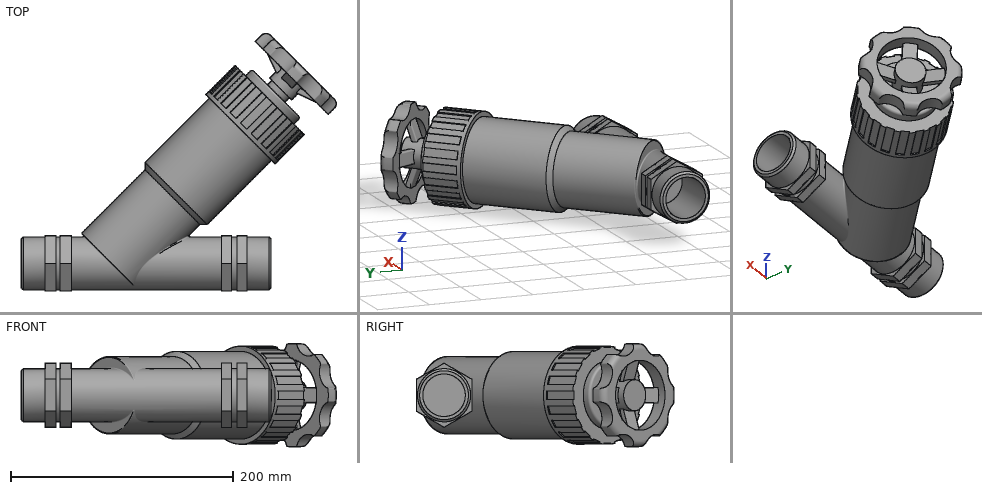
import cadquery as cq
import math

PIPE_LENGTH = 225.0
PIPE_DIAMETER = 48.0
PIPE_CHAMFER = 2.0
BORE_DIAMETER = 38.3
BORE_DEPTH = 56.7

HEX_ACROSS_FLATS = 50.0
LEFT_HEX_STARTS = (21.5, 35.2)
LEFT_HEX_WIDTH = 10.0
RIGHT_HEX_STARTS = (180.5, 194.3)
RIGHT_HEX_WIDTH = 9.0

BRANCH_X = 76.5
BRANCH_ANGLE = 45.0
NECK_START = 3.5
NECK_DIAMETER = 69.8
NECK_ROUNDING = 0.9
SEAM_ROUNDING = 0.9
CONE_START = 84.2
BODY_DIAMETER = 79.0
NUT_START = 170.8
NUT_END = 208.0
NUT_DIAMETER = 88.5
FLANGE_END = 216.0
FLANGE_DIAMETER = 61.5
FLANGE_ROUNDING = 2.3
STEM_DIAMETER = 22.5
HUB_START = 221.8
HUB_END = 242.5
HUB_DIAMETER = 28.0

GROOVE_COUNT = 20
GROOVE_WIDTH = 8.0
GROOVE_DEPTH = 1.5
GROOVE_START = NUT_START + 4.0

RIM_START = 236.0
RIM_END = 249.5
RIM_DIAMETER = 93.0
RIM_HOLE_DIAMETER = 63.0
RIM_ROUNDING = 5.7
LOBE_COUNT = 8
LOBE_EDGE_ROUNDING = 1.0
SCALLOP_RADIUS = 15.5
SCALLOP_FLOOR_RADIUS = 39.5
SPOKE_COUNT = 4
SPOKE_WIDTH = 13.5
SPOKE_ROUNDING = 1.5
SPOKE_HEIGHT = 5.7
SPOKE_DROP = 6.2
SPOKE_RIM_OVERLAP = 1.5


def rod(diameter, start, end):
    """Cylinder on the local Z axis between two heights."""
    return cq.Workplane("XY").workplane(offset=start).circle(diameter / 2).extrude(end - start)


def make_pipe():
    """Chamfered pipe with its four hexagonal collars, corners pointing along Z."""
    pipe = cq.Workplane("YZ").circle(PIPE_DIAMETER / 2).extrude(PIPE_LENGTH)
    pipe = pipe.faces("<X or >X").edges().chamfer(PIPE_CHAMFER)
    collars = [(start, LEFT_HEX_WIDTH) for start in LEFT_HEX_STARTS]
    collars += [(start, RIGHT_HEX_WIDTH) for start in RIGHT_HEX_STARTS]
    hex_across_corners = HEX_ACROSS_FLATS / math.cos(math.pi / 6)
    for start, width in collars:
        collar = (
            cq.Workplane("YZ", origin=(start, 0, 0))
            .transformed(rotate=(0, 0, 90))
            .polygon(6, hex_across_corners)
            .extrude(width)
        )
        pipe = pipe.union(collar)
    return pipe


def make_bores():
    """Blind bores from both pipe ends."""
    bore = cq.Workplane("YZ").circle(BORE_DIAMETER / 2).extrude(BORE_DEPTH)
    return bore.union(bore.translate((PIPE_LENGTH - BORE_DEPTH, 0, 0)))


def make_body():
    """Neck widening through a 45 degree cone to the main barrel."""
    neck_radius = NECK_DIAMETER / 2
    body_radius = BODY_DIAMETER / 2
    cone_end = CONE_START + body_radius - neck_radius
    return (
        cq.Workplane("XZ")
        .moveTo(0, NECK_START)
        .lineTo(neck_radius, NECK_START)
        .lineTo(neck_radius, CONE_START)
        .lineTo(body_radius, cone_end)
        .lineTo(body_radius, NUT_START)
        .lineTo(0, NUT_START)
        .close()
        .revolve(360, (0, 0, 0), (0, 1, 0))
        .faces("<Z")
        .edges()
        .fillet(NECK_ROUNDING)
    )


def make_nut():
    """Grooved union nut with the round flange on top of it."""
    nut = rod(NUT_DIAMETER, NUT_START, NUT_END)
    grooves = (
        cq.Workplane("XY")
        .workplane(offset=GROOVE_START)
        .polarArray(NUT_DIAMETER / 2, 0, 360, GROOVE_COUNT)
        .rect(2 * GROOVE_DEPTH, GROOVE_WIDTH)
        .extrude(NUT_END - GROOVE_START)
    )
    flange = rod(FLANGE_DIAMETER, NUT_END, FLANGE_END).faces(">Z").edges().fillet(FLANGE_ROUNDING)
    return nut.cut(grooves).union(flange)


def make_rim():
    """Handwheel ring with scallops between its lobes."""
    disc = rod(RIM_DIAMETER, RIM_START, RIM_END)
    scallops = (
        cq.Workplane("XY")
        .workplane(offset=RIM_START)
        .polarArray(SCALLOP_FLOOR_RADIUS + SCALLOP_RADIUS, 180 / LOBE_COUNT, 360, LOBE_COUNT)
        .circle(SCALLOP_RADIUS)
        .extrude(RIM_END - RIM_START)
    )
    lobed_disc = disc.cut(scallops).edges("|Z").fillet(LOBE_EDGE_ROUNDING)
    rounded_disc = disc.faces(">Z").edges().fillet(RIM_ROUNDING)
    return lobed_disc.intersect(rounded_disc).cut(rod(RIM_HOLE_DIAMETER, RIM_START, RIM_END))


def make_spokes():
    """Sloping spokes that drop from the rim to the hub."""
    inner = HUB_DIAMETER / 4
    outer = RIM_HOLE_DIAMETER / 2
    slope = SPOKE_DROP / (outer - HUB_DIAMETER / 2)
    inner_bottom = RIM_START - slope * (outer - inner)
    rim_end = outer + SPOKE_RIM_OVERLAP
    outer_top = RIM_START + SPOKE_HEIGHT
    sloped_bottom_edges = cq.selectors.BoxSelector(
        (inner, -SPOKE_WIDTH, inner_bottom),
        (outer, SPOKE_WIDTH, RIM_START),
    )
    spoke = (
        cq.Workplane("XZ")
        .moveTo(inner, inner_bottom)
        .lineTo(outer, RIM_START)
        .lineTo(rim_end, RIM_START)
        .lineTo(rim_end, outer_top)
        .lineTo(outer, outer_top)
        .lineTo(inner, inner_bottom + SPOKE_HEIGHT)
        .close()
        .extrude(SPOKE_WIDTH / 2, both=True)
        .edges(sloped_bottom_edges)
        .fillet(SPOKE_ROUNDING)
    )
    spokes = spoke
    for index in range(1, SPOKE_COUNT):
        spokes = spokes.union(spoke.rotate((0, 0, 0), (0, 0, 1), index * 360 / SPOKE_COUNT))
    return spokes


def make_handwheel():
    """Stem, hub, spokes and rim."""
    stem = rod(STEM_DIAMETER, FLANGE_END, HUB_START)
    hub = rod(HUB_DIAMETER, HUB_START, HUB_END)
    return stem.union(hub).union(make_spokes()).union(make_rim())


def place_on_branch(part):
    """Turn the local Z axis onto the branch axis and move it to the pipe."""
    upright_to_x = part.rotate((0, 0, 0), (0, 1, 0), 90)
    return upright_to_x.rotate((0, 0, 0), (0, 0, 1), BRANCH_ANGLE).translate((BRANCH_X, 0, 0))


valve_body = make_pipe().union(place_on_branch(make_body()))
valve_body = valve_body.edges("%ELLIPSE").fillet(SEAM_ROUNDING)
top_works = make_nut().union(make_handwheel())
result = valve_body.union(place_on_branch(top_works)).cut(make_bores())